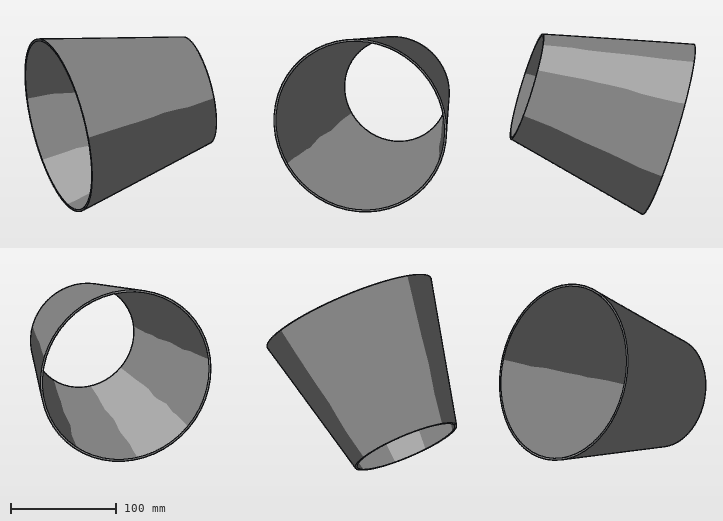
import cadquery as cq

length = 140.0
large_diameter = 168.3
small_diameter = 104.0
wall = 2.0

large_radius = large_diameter / 2
small_radius = small_diameter / 2

wall_section = (
    cq.Workplane("XY")
    .moveTo(large_radius - wall, 0)
    .lineTo(large_radius, 0)
    .lineTo(small_radius, length)
    .lineTo(small_radius - wall, length)
    .close()
)

result = wall_section.revolve(360, (0, 0, 0), (0, 1, 0))